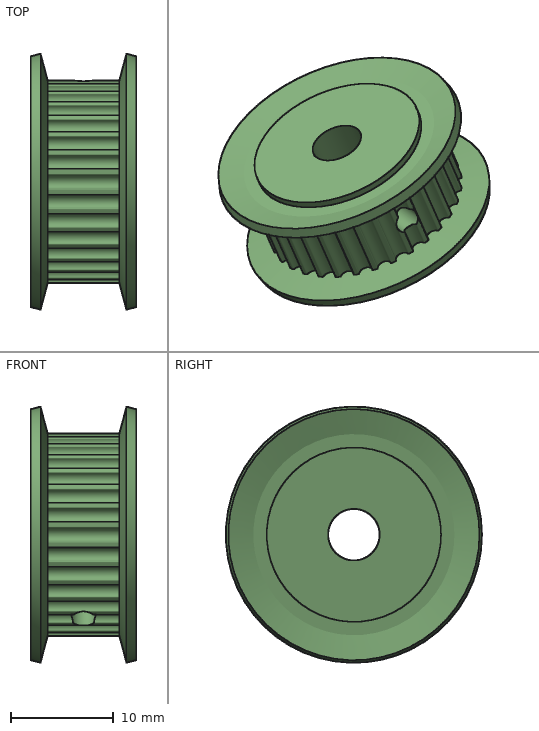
import cadquery as cq
import math

TOOTH_COUNT = 32
TOOTH_ANGLE = 360 / TOOTH_COUNT
TIP_DIAMETER = 19.82
TIP_RADIUS = TIP_DIAMETER / 2
GROOVE_DEPTH = 0.72
GROOVE_RADIUS = 0.68
LIP_RADIUS = 0.1
TOOTH_WIDTH = 7.0

BORE_DIAMETER = 5.0
BOSS_DIAMETER = 17.0
HUB_LENGTH = 10.3

SCREW_HOLE_DIAMETER = 2.45
SCREW_HOLE_GROOVES = (0, -11)

FLANGE_RADIUS = 12.5
BEND_DIAMETER = 19.88
FLANGE_THICKNESS = 1.0
DISH_ANGLE = math.radians(15)


def arc_middle(center, radius, start, end):
    """Middle point of the short arc from start to end around center."""
    toward = cq.Vector((start + end) / 2 - center).normalized()
    return center + toward * radius


def make_groove():
    """Cutter for the groove at +Z, as long as the drum is wide."""
    groove_center = cq.Vector(0, TIP_RADIUS - GROOVE_DEPTH + GROOVE_RADIUS)

    lip_to_axis = TIP_RADIUS - LIP_RADIUS
    lip_to_groove = GROOVE_RADIUS + LIP_RADIUS
    lip_rise = (groove_center.y ** 2 + lip_to_axis ** 2 - lip_to_groove ** 2) / (2 * groove_center.y)
    lip_center = cq.Vector(math.sqrt(lip_to_axis ** 2 - lip_rise ** 2), lip_rise)
    groove_end = groove_center + (lip_center - groove_center).normalized() * GROOVE_RADIUS
    lip_end = lip_center.normalized() * TIP_RADIUS

    lip_middle = arc_middle(lip_center, LIP_RADIUS, groove_end, lip_end)
    groove_bottom = cq.Vector(0, TIP_RADIUS - GROOVE_DEPTH)
    outer_corner = lip_end * ((TIP_RADIUS + LIP_RADIUS) / TIP_RADIUS)

    def mirrored(point):
        return cq.Vector(-point.x, point.y)

    return (
        cq.Workplane("YZ", origin=(-TOOTH_WIDTH / 2, 0, 0))
        .moveTo(outer_corner.x, outer_corner.y)
        .lineTo(lip_end.x, lip_end.y)
        .threePointArc(lip_middle, groove_end)
        .threePointArc(groove_bottom, mirrored(groove_end))
        .threePointArc(mirrored(lip_middle), mirrored(lip_end))
        .lineTo(-outer_corner.x, outer_corner.y)
        .close()
        .extrude(TOOTH_WIDTH)
    )


def make_screw_hole(angle):
    """Cutter from the axis out past the tooth tips, turned from +Y toward +Z."""
    return (
        cq.Workplane("XZ")
        .circle(SCREW_HOLE_DIAMETER / 2)
        .extrude(-(TIP_RADIUS + LIP_RADIUS))
        .rotate((0, 0, 0), (1, 0, 0), angle)
    )


def make_hub():
    drum = cq.Workplane("YZ").circle(TIP_RADIUS).extrude(TOOTH_WIDTH / 2, both=True)
    groove = make_groove()
    for index in range(TOOTH_COUNT):
        drum = drum.cut(groove.rotate((0, 0, 0), (1, 0, 0), index * TOOTH_ANGLE))

    boss = cq.Workplane("YZ").circle(BOSS_DIAMETER / 2).extrude(HUB_LENGTH / 2, both=True)
    bore = cq.Workplane("YZ").circle(BORE_DIAMETER / 2).extrude(HUB_LENGTH / 2, both=True)
    hub = drum.union(boss).cut(bore)
    for groove_number in SCREW_HOLE_GROOVES:
        hub = hub.cut(make_screw_hole(groove_number * TOOTH_ANGLE))
    return hub


def make_flange(side):
    """Dished ring on the boss at the +X (side = 1) or -X (side = -1) end of the teeth."""
    inner_x = TOOTH_WIDTH / 2
    outer_x = inner_x + FLANGE_THICKNESS
    bend_radius = BEND_DIAMETER / 2
    outer_bend_radius = bend_radius - FLANGE_THICKNESS * math.tan(DISH_ANGLE / 2)
    rim_x = inner_x + (FLANGE_RADIUS - bend_radius) * math.tan(DISH_ANGLE)
    outer_rim_x = rim_x + FLANGE_THICKNESS * math.cos(DISH_ANGLE)
    outer_rim_radius = FLANGE_RADIUS - FLANGE_THICKNESS * math.sin(DISH_ANGLE)
    section = [
        (inner_x, BOSS_DIAMETER / 2),
        (inner_x, bend_radius),
        (rim_x, FLANGE_RADIUS),
        (outer_rim_x, outer_rim_radius),
        (outer_x, outer_bend_radius),
        (outer_x, BOSS_DIAMETER / 2),
    ]
    return (
        cq.Workplane("XY")
        .polyline([(side * x, radius) for x, radius in section])
        .close()
        .revolve(360, (0, 0, 0), (1, 0, 0))
    )


hub = make_hub()
flanges = [make_flange(side) for side in (-1, 1)]
result = cq.Compound.makeCompound([hub.val(), *[flange.val() for flange in flanges]])